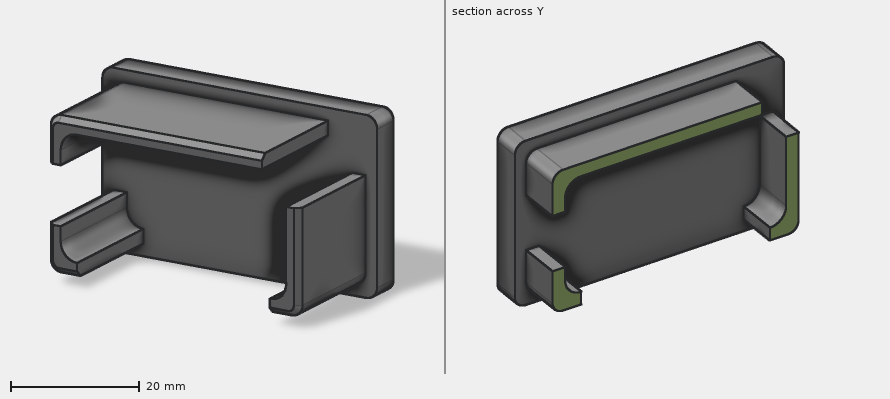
import cadquery as cq

plate_length = 50.0
plate_height = 30.0
plate_thickness = 5.0
corner_radius = 2.0

wall_inset = 2.1
wall_thickness = 2.4
wall_depth = 20.0
inner_radius = 3.0
tip_chamfer = 1.0

top_wall_length = 39.0
right_wall_length = 18.0
left_gap = 10.0
lip_length = wall_thickness + inner_radius

insert_length = plate_length - 2 * wall_inset
insert_height = plate_height - 2 * wall_inset
left_leg_length = (insert_height - left_gap) / 2


def rounded_block(length, height, radius, y_start, depth):
    """Block with rounded corners, reaching from y_start towards -Y."""
    block = cq.Workplane("XZ", origin=(0, y_start, 0)).rect(length, height).extrude(depth)
    return block.edges("|Y").fillet(radius)


def insert_tube():
    """Complete rectangular tube with its outer tip edge chamfered."""
    outer = rounded_block(insert_length, insert_height, corner_radius, 0, wall_depth)
    outer = outer.faces("<Y").chamfer(tip_chamfer)
    opening = rounded_block(
        insert_length - 2 * wall_thickness,
        insert_height - 2 * wall_thickness,
        inner_radius,
        0,
        wall_depth,
    )
    return outer.cut(opening)


def corner_region(x_side, z_side, length, height):
    """Box filling one outside corner of the insert; sides are +1 or -1."""
    center_x = x_side * (insert_length - length) / 2
    center_z = z_side * (insert_height - height) / 2
    return (
        cq.Workplane("XZ")
        .center(center_x, center_z)
        .rect(length, height)
        .extrude(wall_depth)
    )


wall_regions = [
    corner_region(-1, 1, top_wall_length, left_leg_length),
    corner_region(-1, -1, lip_length, left_leg_length),
    corner_region(1, -1, lip_length, right_wall_length),
]

tube = insert_tube()
result = rounded_block(plate_length, plate_height, corner_radius, plate_thickness, plate_thickness)
for region in wall_regions:
    result = result.union(tube.intersect(region))